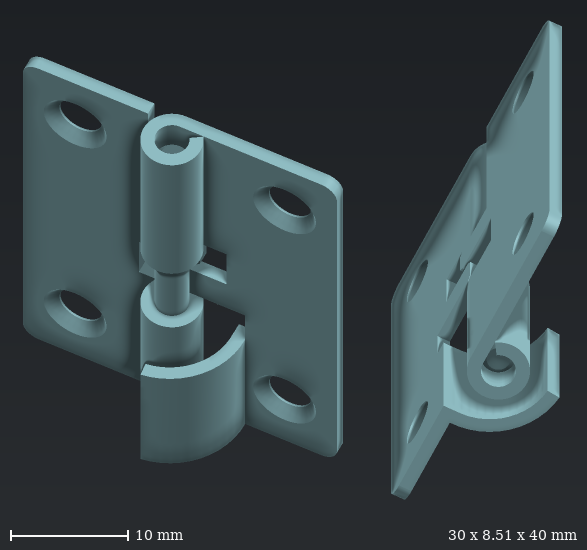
import cadquery as cq
import math

HEIGHT = 40.0
WIDTH = 30.0
THICKNESS = 1.2
CORNER_RADIUS = 1.5
TOP = HEIGHT / 2
SIDE = WIDTH / 2

PIN_DIAMETER = 3.0
PIN_RADIUS = PIN_DIAMETER / 2
PIN_CHAMFER = 0.5
PIN_RECESS = 2.4
KNUCKLE_RADIUS = PIN_RADIUS + THICKNESS
AXIS_Y = -KNUCKLE_RADIUS
KNUCKLE_END = 3.95
ROLL_END_ANGLE = 33.0

WINDOW_INNER_END = 0.5
TAB_CHAMFER = 0.5
LEFT_TAB_TIP_X = 1.9
RIGHT_TAB_TIP_X = 0.0
LEFT_CLEARANCE_X = -3.05
LEFT_WINDOW_X = -3.9
RIGHT_WINDOW_X = 4.5

TONGUE_OUTER_X = 6.25
TONGUE_TOP_Z = -7.5
TONGUE_RADIUS = 7.1
TONGUE_CENTER_Y = -1.45
TONGUE_START_ANGLE = 4.0
TONGUE_END_ANGLE = -84.0

HOLE_X = 10.0
HOLE_Z = 14.0
HOLE_DIAMETER = 4.0
SINK_DIAMETER = 6.0
SINK_ANGLE = 90.0


def polar(radius, angle, center):
    """Point at a radius and an angle in degrees around a center."""
    turn = math.radians(angle)
    return (center[0] + radius * math.cos(turn), center[1] + radius * math.sin(turn))


def arc_strip(center, outer_radius, start, end, bottom, height):
    """Strip of leaf thickness curved around a vertical axis."""
    inner_radius = outer_radius - THICKNESS
    middle = (start + end) / 2
    return (
        cq.Workplane("XY", origin=(0, 0, bottom))
        .moveTo(*polar(outer_radius, start, center))
        .threePointArc(polar(outer_radius, middle, center), polar(outer_radius, end, center))
        .lineTo(*polar(inner_radius, end, center))
        .threePointArc(polar(inner_radius, middle, center), polar(inner_radius, start, center))
        .close()
        .extrude(height)
    )


def make_plate(inner_edge, side):
    """Flat leaf from its inner edge, listed top to bottom, out to one side."""
    outline = [*inner_edge, (side, -TOP), (side, TOP)]
    outer_face = "<X" if side < 0 else ">X"
    plate = (
        cq.Workplane("XZ")
        .polyline(outline)
        .close()
        .extrude(THICKNESS)
        .faces(outer_face)
        .edges("|Y")
        .fillet(CORNER_RADIUS)
    )
    hole_x = math.copysign(HOLE_X, side)
    return (
        plate.faces("<Y")
        .workplane(origin=(0, -THICKNESS, 0))
        .pushPoints([(hole_x, -HOLE_Z), (hole_x, HOLE_Z)])
        .cskHole(HOLE_DIAMETER, SINK_DIAMETER, SINK_ANGLE)
    )


def chamfer_tab(plate, tip_x, z_side):
    """Chamfer both corners of a stop tab lying above (1) or below (-1) z = 0."""
    for z in (WINDOW_INNER_END, KNUCKLE_END):
        corner = cq.NearestToPointSelector((tip_x, -THICKNESS / 2, z_side * z))
        plate = plate.edges("|Y").edges(corner).chamfer(TAB_CHAMFER)
    return plate


def make_knuckle(bottom):
    """Roll that starts at x = 0 on a leaf to its right and wraps round the pin."""
    length = TOP - KNUCKLE_END
    return arc_strip((0, AXIS_Y), KNUCKLE_RADIUS, 90, 360 + ROLL_END_ANGLE, bottom, length)


def make_left_leaf():
    inner_edge = [
        (LEFT_CLEARANCE_X, TOP),
        (LEFT_CLEARANCE_X, KNUCKLE_END),
        (LEFT_TAB_TIP_X, KNUCKLE_END),
        (LEFT_TAB_TIP_X, WINDOW_INNER_END),
        (LEFT_WINDOW_X, WINDOW_INNER_END),
        (LEFT_WINDOW_X, -KNUCKLE_END),
        (0, -KNUCKLE_END),
        (0, -TOP),
    ]
    knuckle = make_knuckle(-TOP).mirror("YZ")
    plate = chamfer_tab(make_plate(inner_edge, -SIDE), LEFT_TAB_TIP_X, 1)
    return plate.union(knuckle)


def make_right_leaf():
    tongue_inner_x = TONGUE_OUTER_X - THICKNESS
    inner_edge = [
        (0, TOP),
        (0, KNUCKLE_END),
        (RIGHT_WINDOW_X, KNUCKLE_END),
        (RIGHT_WINDOW_X, -WINDOW_INNER_END),
        (RIGHT_TAB_TIP_X, -WINDOW_INNER_END),
        (RIGHT_TAB_TIP_X, -KNUCKLE_END),
        (TONGUE_OUTER_X, -KNUCKLE_END),
        (TONGUE_OUTER_X, TONGUE_TOP_Z),
        (tongue_inner_x, TONGUE_TOP_Z),
        (tongue_inner_x, -TOP),
    ]
    tongue_center = (TONGUE_OUTER_X - TONGUE_RADIUS, TONGUE_CENTER_Y)
    tongue_height = TONGUE_TOP_Z + TOP
    tongue = arc_strip(
        tongue_center, TONGUE_RADIUS, TONGUE_START_ANGLE, TONGUE_END_ANGLE, -TOP, tongue_height
    )
    plate = chamfer_tab(make_plate(inner_edge, SIDE), RIGHT_TAB_TIP_X, -1)
    return plate.union(make_knuckle(KNUCKLE_END)).union(tongue)


def make_pin():
    """Pin with chamfered ends, set in from both ends of the knuckles."""
    length = HEIGHT - 2 * PIN_RECESS
    return (
        cq.Workplane("XY", origin=(0, AXIS_Y, -length / 2))
        .circle(PIN_RADIUS)
        .extrude(length)
        .faces("<Z or >Z")
        .edges()
        .chamfer(PIN_CHAMFER)
    )


left_leaf = make_left_leaf()
right_leaf = make_right_leaf()
pin = make_pin()

result = cq.Compound.makeCompound([left_leaf.val(), right_leaf.val(), pin.val()])